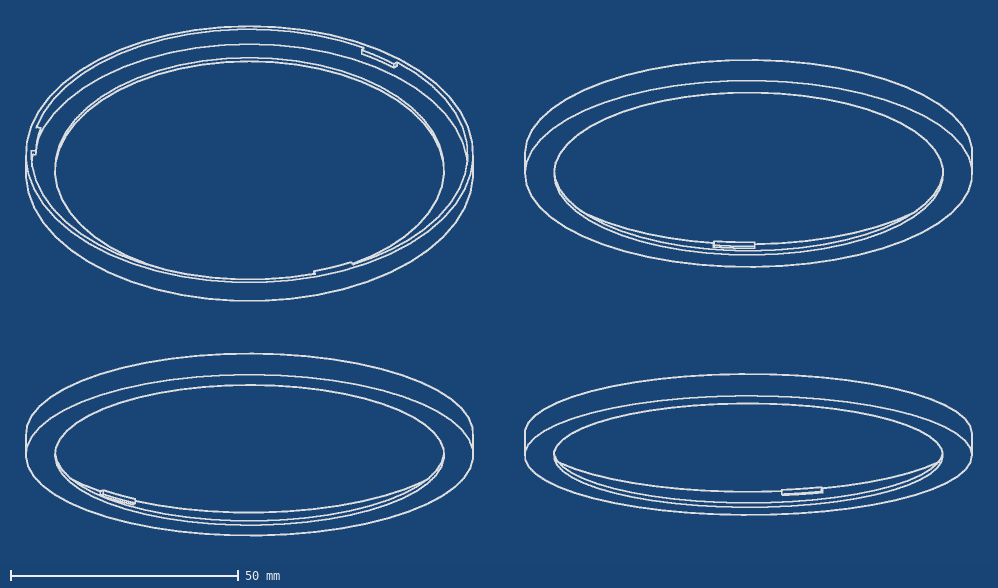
import cadquery as cq

outer_diameter = 98.41
bore_diameter = 85.6
height = 5.0
floor_thickness = 1.0
wall_thickness = 1.2

tab_count = 3
tab_sweep = 10.9
tab_thickness = 1.0
tab_overhang = 1.0
first_tab_angle = 90.0

outer_radius = outer_diameter / 2
bore_radius = bore_diameter / 2
wall_inner_radius = outer_radius - wall_thickness
wall_mid_radius = outer_radius - wall_thickness / 2
tab_inner_radius = wall_inner_radius - tab_overhang
tab_bottom = height - tab_thickness


def ring_body():
    """L-shaped section swept all the way round the Z axis."""
    blank = cq.Workplane("XY").circle(outer_radius).circle(bore_radius).extrude(height)
    recess = cq.Workplane("XY").workplane(offset=floor_thickness).circle(wall_inner_radius).extrude(height)
    return blank.cut(recess)


def tab(centre_angle):
    """Inward lip with radial ends, flush with the rim and rooted in the middle of the wall."""
    section = (
        cq.Workplane("XZ")
        .moveTo(tab_inner_radius, tab_bottom)
        .lineTo(wall_mid_radius, tab_bottom)
        .lineTo(wall_mid_radius, height)
        .lineTo(tab_inner_radius, height)
        .close()
    )
    lip = section.revolve(tab_sweep, (0, 0, 0), (0, 1, 0))
    return lip.rotate((0, 0, 0), (0, 0, 1), centre_angle - tab_sweep / 2)


result = ring_body()
for index in range(tab_count):
    result = result.union(tab(first_tab_angle + index * 360 / tab_count))